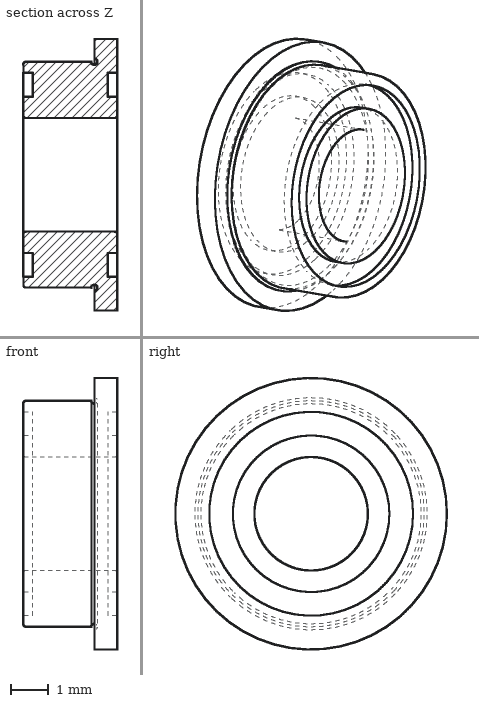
import cadquery as cq

width = 2.5
flange_diameter = 7.2
flange_thickness = 0.61
body_diameter = 6.0
bore_diameter = 3.0
edge_radius = 0.08
relief_radius = 0.08

recess_outer_diameter = 5.4
recess_inner_diameter = 4.15
recess_depth = 0.25

flange_face = width - flange_thickness


def cylinder(diameter, start, length):
    """Solid cylinder along X, beginning at x = start."""
    return cq.Workplane("YZ", origin=(start, 0, 0)).circle(diameter / 2).extrude(length)


def shield_recess(start):
    """Ring-shaped cutter for the recess between the two bearing rings."""
    outer = cylinder(recess_outer_diameter, start, recess_depth)
    return outer.cut(cylinder(recess_inner_diameter, start, recess_depth))


def corner_relief():
    """Round undercut centred on the corner where the body meets the flange."""
    return (
        cq.Workplane("XY")
        .center(flange_face, body_diameter / 2)
        .circle(relief_radius)
        .revolve(360, (0, -body_diameter / 2, 0), (1, -body_diameter / 2, 0))
    )


body = cylinder(body_diameter, 0, width).faces("<X").edges().fillet(edge_radius)
flange = cylinder(flange_diameter, flange_face, flange_thickness)

bearing = body.union(flange).cut(cylinder(bore_diameter, 0, width))
bore_rims = cq.selectors.RadiusNthSelector(0)
bearing = bearing.faces("<X or >X").edges(bore_rims).fillet(edge_radius)

for recess_start in (0, width - recess_depth):
    bearing = bearing.cut(shield_recess(recess_start))

result = bearing.cut(corner_relief())